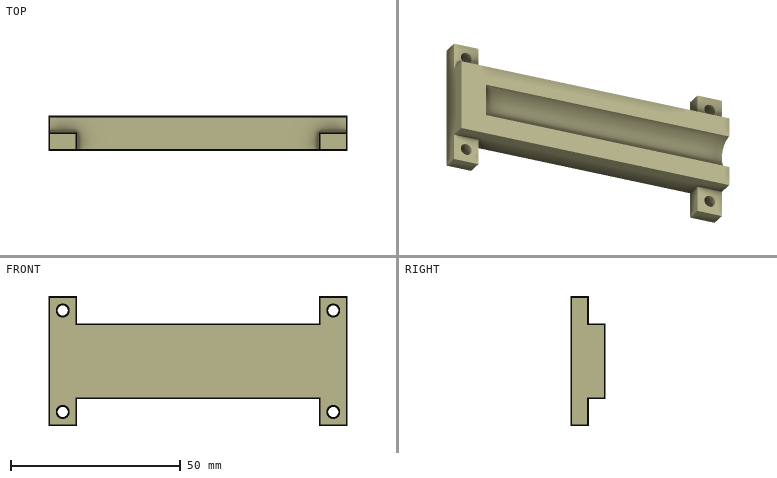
import cadquery as cq

length = 88.0
bar_height = 22.0
thickness = 10.0

ear_width = 8.0
ear_thickness = 5.0
overall_height = 38.0
hole_diameter = 3.5

groove_radius = 5.0
end_wall = 8.0

ear_height = (overall_height - bar_height) / 2
ear_x = (length - ear_width) / 2
hole_z = (overall_height - ear_height) / 2


def make_bar():
    return cq.Workplane("XY").box(length, thickness, bar_height, centered=(True, False, True))


def make_ear_strip(x):
    """Full-height strip whose two ends form a pair of ears."""
    strip = cq.Workplane("XY").box(ear_width, ear_thickness, overall_height, centered=(True, False, True))
    return strip.translate((x, 0, 0))


def make_ear_holes():
    corners = [(x, z) for x in (-ear_x, ear_x) for z in (-hole_z, hole_z)]
    return cq.Workplane("XZ").pushPoints(corners).circle(hole_diameter / 2).extrude(-ear_thickness)


def make_groove():
    """Cylinder along X, centred on the +Y face and open at the -X end."""
    start = cq.Workplane("YZ", origin=(-length / 2, thickness, 0))
    return start.circle(groove_radius).extrude(length - end_wall)


result = make_bar()
for x in (-ear_x, ear_x):
    result = result.union(make_ear_strip(x))
result = result.cut(make_ear_holes()).cut(make_groove())